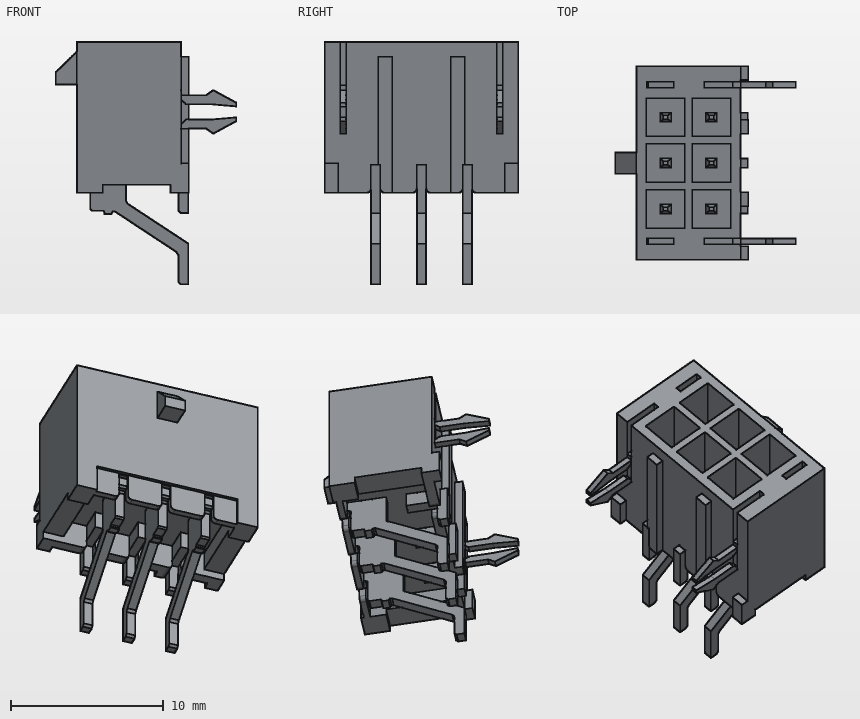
import cadquery as cq
import math


BODY_DEPTH = 6.84
BODY_WIDTH = 12.7
BODY_HEIGHT = 9.9
STANDOFF = 0.51
REAR_X = BODY_DEPTH + STANDOFF

PITCH = 3.0
ROW_X = (BODY_DEPTH / 2 - PITCH / 2, BODY_DEPTH / 2 + PITCH / 2)
COLUMN_Y = (-PITCH, 0.0, PITCH)
POCKET_SIZE = 2.51
POCKET_DEPTH = 6.68

BASE_HEIGHT = 1.94
BASE_WIDTH = 9.87
RECESS_DEPTH = 0.19
FRONT_WALL_BACK = RECESS_DEPTH + 0.43
FRONT_FOOT_LENGTH = 1.69
REAR_STRIP_X = 6.14
UNDERCUT_HEIGHT = 0.52

FOOT_WIDTH = 0.9
RIB_WIDTH = 0.92
RIB_OFFSET = 2.37
RIB_TOP_GAP = 0.97

LATCH_REACH = 1.4
LATCH_WIDTH = 1.4
LATCH_TOP = BODY_HEIGHT - 0.64
LATCH_EDGE = BODY_HEIGHT - 2.0
LATCH_BOTTOM = BODY_HEIGHT - 2.81

PIN_THICKNESS = 0.62
POST_DEPTH = 0.72
PIN_TIP_DEPTH = 0.3
PIN_TIP_WIDTH = 0.24
PIN_TIP_LENGTH = 0.64
PIN_TOP = 7.15
SHOULDER_Z = 1.85
TAIL_FRONT = 6.65
TAIL_BACK = 7.31
TAIL_CHAMFER = 0.16
LONG_TAIL_Z = BODY_HEIGHT - 15.9
SHORT_TAIL_Z = -1.32
ARM_Z = 0.64
SLOT_MOUTH_RADIUS = 0.29

LOCK_THICKNESS = 0.4
LOCK_Y = 5.14
LOCK_FRONT = 4.45
LOCK_SHOULDER_X = 6.33
LOCK_Z = BODY_HEIGHT - 4.6
LOCK_HALF_HEIGHT = 1.1
LOCK_TOP = BODY_HEIGHT - 2.86
LOCK_ROOT_TOP = BODY_HEIGHT - 3.18
LOCK_BOTTOM = LOCK_Z - LOCK_HALF_HEIGHT
PRONG_TIP = 10.46
FRONT_SLOT_START = 0.67
FRONT_SLOT_END = 2.46
FRONT_SLOT_LEDGE = 0.11
FRONT_SLOT_LEDGE_DEPTH = 3.18
FRONT_SLOT_DEPTH = 4.77


def block(x_range, y_range, z_range):
    """Box between two limits along each axis."""
    size = [limits[1] - limits[0] for limits in (x_range, y_range, z_range)]
    corner = (x_range[0], y_range[0], z_range[0])
    return cq.Workplane("XY").box(*size, centered=False).translate(corner)


def centred(middle, width):
    """Limits of a width centred on a place."""
    return (middle - width / 2, middle + width / 2)


def plate(outline, middle_y, thickness):
    """Plate with an outline in X and Z, centred on a place along Y."""
    sheet = cq.Workplane("XZ").polyline(outline).close().extrude(thickness / 2, both=True)
    return sheet.translate((0, middle_y, 0))


def make_latch():
    outline = [
        (0, LATCH_TOP),
        (-LATCH_REACH, LATCH_EDGE),
        (-LATCH_REACH, LATCH_BOTTOM),
        (0, LATCH_BOTTOM),
    ]
    return plate(outline, 0, LATCH_WIDTH)


def make_contact_slot(middle_y):
    """Slot for a contact through the base walls, open below, with rounded mouth edges."""
    slot = block((RECESS_DEPTH, REAR_X), centred(middle_y, PIN_THICKNESS), (0, SHOULDER_Z))
    slot_edge = PIN_THICKNESS / 2
    mouth_edge = slot_edge + SLOT_MOUTH_RADIUS
    arc_reach = SLOT_MOUTH_RADIUS * (1 - math.sqrt(0.5))
    arc_y = slot_edge + arc_reach
    mouth = (
        cq.Workplane("YZ")
        .moveTo(-mouth_edge, 0)
        .threePointArc((-arc_y, arc_reach), (-slot_edge, SLOT_MOUTH_RADIUS))
        .lineTo(slot_edge, SLOT_MOUTH_RADIUS)
        .threePointArc((arc_y, arc_reach), (mouth_edge, 0))
        .close()
        .extrude(REAR_X)
        .translate((0, middle_y, 0))
    )
    return slot.union(mouth)


def make_housing():
    half_width = BODY_WIDTH / 2
    full_width = (-half_width, half_width)
    housing = block((0, BODY_DEPTH), full_width, (0, BODY_HEIGHT)).union(make_latch())

    for side in (-1, 1):
        foot_y = side * (half_width - FOOT_WIDTH / 2)
        foot = block((BODY_DEPTH, REAR_X), centred(foot_y, FOOT_WIDTH), (0, BASE_HEIGHT))
        rib_y = centred(side * RIB_OFFSET, RIB_WIDTH)
        rib = block((BODY_DEPTH, REAR_X), rib_y, (0, BODY_HEIGHT - RIB_TOP_GAP))
        housing = housing.union(foot).union(rib)

    base_y = centred(0, BASE_WIDTH)
    housing = housing.cut(block((0, RECESS_DEPTH), base_y, (0, BASE_HEIGHT)))
    housing = housing.cut(block((FRONT_WALL_BACK, REAR_STRIP_X), base_y, (0, SHOULDER_Z)))
    housing = housing.cut(block((FRONT_FOOT_LENGTH, REAR_STRIP_X), full_width, (0, UNDERCUT_HEIGHT)))

    pocket_z = (BODY_HEIGHT - POCKET_DEPTH, BODY_HEIGHT)
    for y in COLUMN_Y:
        housing = housing.cut(make_contact_slot(y))
        for x in ROW_X:
            housing = housing.cut(block(centred(x, POCKET_SIZE), centred(y, POCKET_SIZE), pocket_z))
            post_hole = block(centred(x, POST_DEPTH), centred(y, PIN_THICKNESS), (SHOULDER_Z, BODY_HEIGHT))
            housing = housing.cut(post_hole)

    ledge_z = BODY_HEIGHT - FRONT_SLOT_LEDGE_DEPTH
    floor_z = BODY_HEIGHT - FRONT_SLOT_DEPTH
    for side in (-1, 1):
        slot_y = centred(side * LOCK_Y, LOCK_THICKNESS)
        front_slot = block((FRONT_SLOT_START, FRONT_SLOT_END), slot_y, (ledge_z, BODY_HEIGHT))
        deep_x = (FRONT_SLOT_START + FRONT_SLOT_LEDGE, FRONT_SLOT_END)
        deep_slot = block(deep_x, slot_y, (floor_z, ledge_z))
        rear_slot = block((LOCK_FRONT, BODY_DEPTH), slot_y, (LOCK_BOTTOM, BODY_HEIGHT))
        housing = housing.cut(front_slot).cut(deep_slot).cut(rear_slot)
    return housing


def make_post(x, y):
    """Post from the shoulder up, with a pyramid tip."""
    tip_base = PIN_TOP - PIN_TIP_LENGTH
    shaft = block(centred(x, POST_DEPTH), centred(y, PIN_THICKNESS), (SHOULDER_Z, tip_base))
    tip = (
        cq.Workplane("XY", origin=(x, y, tip_base))
        .rect(POST_DEPTH, PIN_THICKNESS)
        .workplane(offset=PIN_TIP_LENGTH)
        .rect(PIN_TIP_DEPTH, PIN_TIP_WIDTH)
        .loft(combine=True)
    )
    return shaft.union(tip)


def tail_end(tail_z):
    """Outline points of a tail end, from its front side to its back side."""
    return [
        (TAIL_FRONT, tail_z + TAIL_CHAMFER),
        (TAIL_FRONT + TAIL_CHAMFER, tail_z),
        (TAIL_BACK, tail_z),
    ]


def make_front_pin(y):
    """Contact of the front row, with a nose in the wall slot and a long slanting tail."""
    nose_x = 0.35
    nose_z = 1.0
    nose_chamfer = 0.15
    edge_chamfer = 0.11
    heel_x = 0.87
    heel_z = -1.18
    bump_z = -1.38
    body_back = 3.23
    outline = [
        (nose_x + edge_chamfer, SHOULDER_Z),
        (nose_x, SHOULDER_Z - edge_chamfer),
        (nose_x, nose_z + nose_chamfer),
        (nose_x + nose_chamfer, nose_z),
        (heel_x - nose_chamfer, nose_z),
        (heel_x, nose_z - nose_chamfer),
        (heel_x, heel_z + edge_chamfer),
        (heel_x + edge_chamfer, heel_z),
        (1.75, heel_z),
        (1.8, -1.29),
        (1.8, bump_z),
        (2.25, bump_z),
        (2.35, -1.22),
        (2.5, -1.22),
        (6.5, -3.86),
        (TAIL_FRONT, -4.07),
        *tail_end(LONG_TAIL_Z),
        (TAIL_BACK, -3.32),
        (3.32, -0.7),
        (body_back, -0.52),
        (body_back, SHOULDER_Z),
    ]
    return plate(outline, y, PIN_THICKNESS).union(make_post(ROW_X[0], y))


def make_rear_pin(y):
    """Contact of the rear row, with a level arm and a short tail."""
    post_front = ROW_X[1] - POST_DEPTH / 2
    outline = [
        (post_front, SHOULDER_Z),
        (post_front, ARM_Z),
        (TAIL_FRONT, ARM_Z),
        *tail_end(SHORT_TAIL_Z),
        (TAIL_BACK, SHOULDER_Z),
    ]
    return plate(outline, y, PIN_THICKNESS).union(make_post(ROW_X[1], y))


def make_board_lock(y):
    """Flat board lock with two barbed prongs, mirrored about LOCK_Z, on a stepped root."""
    prong = [
        (8.47, LOCK_HALF_HEIGHT),
        (8.94, 1.43),
        (PRONG_TIP, 0.6),
        (PRONG_TIP, 0.35),
        (8.82, 0.5),
        (7.17, 0.5),
        (BODY_DEPTH, 0.8),
    ]
    upper = [(x, LOCK_Z + height) for x, height in prong]
    lower = [(x, LOCK_Z - height) for x, height in reversed(prong)]
    outline = [
        (LOCK_FRONT, LOCK_BOTTOM),
        (LOCK_FRONT, LOCK_TOP),
        (LOCK_SHOULDER_X, LOCK_TOP),
        (LOCK_SHOULDER_X, LOCK_ROOT_TOP),
        (BODY_DEPTH, LOCK_ROOT_TOP),
        (BODY_DEPTH, LOCK_Z + LOCK_HALF_HEIGHT),
        *upper,
        *lower,
    ]
    return plate(outline, y, LOCK_THICKNESS)


housing = make_housing()
front_pins = [make_front_pin(y) for y in COLUMN_Y]
rear_pins = [make_rear_pin(y) for y in COLUMN_Y]
board_locks = [make_board_lock(side * LOCK_Y) for side in (-1, 1)]

bodies = [housing, *front_pins, *rear_pins, *board_locks]
result = cq.Compound.makeCompound([body.val() for body in bodies])